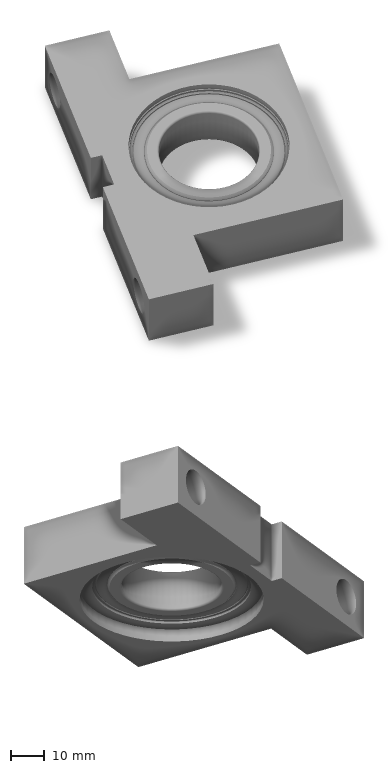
import cadquery as cq

FOOT_WIDTH = 104.0
FOOT_DEPTH = 20.2
HEAD_WIDTH = 64.0
TOTAL_DEPTH = 67.0
THICKNESS = 19.0

SLOT_WIDTH = 12.0
SLOT_DEPTH = 3.5

BOLT_DIAMETER = 11.0
BOLT_SPACING = 84.0

BORE_HEIGHT = 35.0
LIP_RADIUS = 24.0
LIP_THICKNESS = 2.0

BEARING_LENGTH = 13.0
OUTER_RACE_RADIUS = 27.5
RIM_INNER_RADIUS = 23.7
RIM_HEIGHT = 0.7
GROOVE_RADIUS = 22.9
GROOVE_WIDTH = 0.4
GROOVE_DEPTH = 0.4
INNER_RACE_RADIUS = 19.2
OUTER_RACE_BORE_CHAMFER = 0.2
INNER_RACE_BEVEL_WIDTH = 0.7
INNER_RACE_BEVEL_HEIGHT = 0.7
SHAFT_RADIUS = 15.0
SHAFT_FILLET = 0.6

MOUNTING_FACE_Y = -BORE_HEIGHT
BEARING_TOP = THICKNESS / 2 - LIP_THICKNESS
BEARING_MIDDLE = BEARING_TOP - BEARING_LENGTH / 2


def box_from_mounting_face(width, depth):
    """Full-thickness box centred in X that starts at the mounting face."""
    return (
        cq.Workplane("XY")
        .center(0, MOUNTING_FACE_Y + depth / 2)
        .rect(width, depth)
        .extrude(THICKNESS / 2, both=True)
    )


def make_block():
    """T-shaped block with the locating slot in its mounting face."""
    foot = box_from_mounting_face(FOOT_WIDTH, FOOT_DEPTH)
    head = box_from_mounting_face(HEAD_WIDTH, TOTAL_DEPTH)
    slot = box_from_mounting_face(SLOT_WIDTH, SLOT_DEPTH)
    return foot.union(head).cut(slot)


def cut_mounting_holes(block):
    """Two plain holes along Y through the ends of the foot."""
    holes = (
        cq.Workplane("XZ", origin=(0, MOUNTING_FACE_Y, 0))
        .pushPoints([(-BOLT_SPACING / 2, 0), (BOLT_SPACING / 2, 0)])
        .circle(BOLT_DIAMETER / 2)
        .extrude(-FOOT_DEPTH)
    )
    return block.cut(holes)


def cut_bearing_seat(block):
    """Pocket for the outer race from the bottom up to the lip, and the opening in the lip."""
    pocket = (
        cq.Workplane("XY", origin=(0, 0, -THICKNESS / 2))
        .circle(OUTER_RACE_RADIUS)
        .extrude(THICKNESS - LIP_THICKNESS)
    )
    opening = cq.Workplane("XY").circle(LIP_RADIUS).extrude(THICKNESS / 2)
    return block.cut(pocket).cut(opening)


def make_housing():
    return cut_bearing_seat(cut_mounting_holes(make_block()))


def revolve_race(upper_profile):
    """Ring with equal faces from (radius, height above mid-length) points, moved to its seat."""
    lower_profile = [(radius, -height) for radius, height in reversed(upper_profile)]
    return (
        cq.Workplane("XZ")
        .polyline(upper_profile + lower_profile)
        .close()
        .revolve(360, (0, 0), (0, 1))
        .translate((0, 0, BEARING_MIDDLE))
    )


def make_outer_race():
    """Outer race whose faces have a raised rim around a recessed, grooved middle."""
    rim = BEARING_LENGTH / 2
    recess = rim - RIM_HEIGHT
    return revolve_race([
        (INNER_RACE_RADIUS, recess - OUTER_RACE_BORE_CHAMFER),
        (INNER_RACE_RADIUS + OUTER_RACE_BORE_CHAMFER, recess),
        (GROOVE_RADIUS - GROOVE_WIDTH, recess),
        (GROOVE_RADIUS, recess - GROOVE_DEPTH),
        (GROOVE_RADIUS, recess),
        (RIM_INNER_RADIUS, recess),
        (RIM_INNER_RADIUS, rim),
        (OUTER_RACE_RADIUS, rim),
    ])


def make_inner_race():
    """Inner race, bevelled around its outer edges and rounded at the mouths of its bore."""
    face = BEARING_LENGTH / 2
    race = revolve_race([
        (SHAFT_RADIUS, face),
        (INNER_RACE_RADIUS - INNER_RACE_BEVEL_WIDTH, face),
        (INNER_RACE_RADIUS, face - INNER_RACE_BEVEL_HEIGHT),
    ])
    bore_edges = race.edges("%CIRCLE").edges(cq.selectors.RadiusNthSelector(0))
    return bore_edges.fillet(SHAFT_FILLET)


housing = make_housing()
outer_race = make_outer_race()
inner_race = make_inner_race()

result = cq.Compound.makeCompound([housing.val(), outer_race.val(), inner_race.val()])